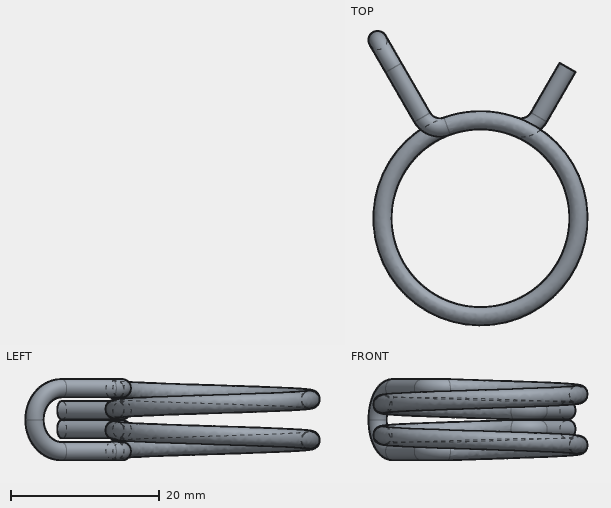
import cadquery as cq
import math

overall_length = 39.7
overall_height = 11.0
wire_diameter = 2.5
bore_diameter = 23.9

coil_end_angle = 20.0
leg_angle = 30.0
bend_radius = 2.78
end_gap = 0.05

wire_radius = wire_diameter / 2
coil_radius = (bore_diameter + wire_diameter) / 2
loop_radius = overall_height / 2 - wire_radius
left_level = loop_radius
right_level = (wire_diameter + end_gap) / 2

bend_end_y = (
    (coil_radius + bend_radius) * math.cos(math.radians(coil_end_angle))
    - bend_radius * math.sin(math.radians(leg_angle))
)
loop_tip_y = overall_length - coil_radius - wire_diameter
leg_length = (loop_tip_y - bend_end_y) / math.cos(math.radians(leg_angle)) - loop_radius


def tilted(angle):
    """Horizontal unit vector leaning from +Y by the angle in degrees, positive toward +X."""
    lean = math.radians(angle)
    return cq.Vector(math.sin(lean), math.cos(lean), 0)


def wire_along(edges, start, direction):
    """Round wire swept along connected edges, from the start point heading in the direction."""
    plane = cq.Plane(origin=start, xDir=(0, 0, 1), normal=direction)
    path = cq.Workplane().add(cq.Wire.assembleEdges(edges))
    return cq.Workplane(plane).circle(wire_radius).sweep(path)


def coil():
    """Helical turn from the right leg counterclockwise, past a full circle, to the left leg."""
    turn_angle = 360 + 2 * coil_end_angle
    rise = left_level - right_level
    helix = cq.Wire.makeHelix(rise * 360 / turn_angle, rise, coil_radius)
    section = cq.Workplane("XZ", origin=(coil_radius, 0, 0)).circle(wire_radius)
    turn = section.sweep(cq.Workplane().add(helix), isFrenet=True)
    return turn.rotate((0, 0, 0), (0, 0, 1), 90 - coil_end_angle).translate((0, 0, right_level))


def leg_points(side, level):
    """Start, middle and end of the outward bend, then the leg tip; side is +1 right, -1 left."""
    to_coil_end = tilted(side * coil_end_angle)
    bend_center = to_coil_end * (coil_radius + bend_radius) + cq.Vector(0, 0, level)
    to_bend_end = tilted(side * (leg_angle + 90))
    to_bend_middle = (to_bend_end - to_coil_end).normalized()
    start = bend_center - to_coil_end * bend_radius
    middle = bend_center + to_bend_middle * bend_radius
    end = bend_center + to_bend_end * bend_radius
    tip = end + tilted(side * leg_angle) * leg_length
    return start, middle, end, tip


def leg(side, level):
    """Outward bend and straight leg at one end of the coil."""
    start, middle, end, tip = leg_points(side, level)
    edges = [cq.Edge.makeThreePointArc(start, middle, end), cq.Edge.makeLine(end, tip)]
    return wire_along(edges, start, tilted(side * (coil_end_angle + 90)))


def half_loop():
    """Quarter turn from the tip of the left leg down to the mirror plane."""
    tip = leg_points(-1, left_level)[-1]
    up = cq.Vector(0, 0, 1)
    outward = tilted(-leg_angle)
    center = tip - up * loop_radius
    middle = center + (outward + up).normalized() * loop_radius
    end = center + outward * loop_radius
    return wire_along([cq.Edge.makeThreePointArc(tip, middle, end)], tip, outward)


upper_half = coil().union(leg(-1, left_level)).union(leg(1, right_level)).union(half_loop())
result = upper_half.union(upper_half.mirror("XY"))